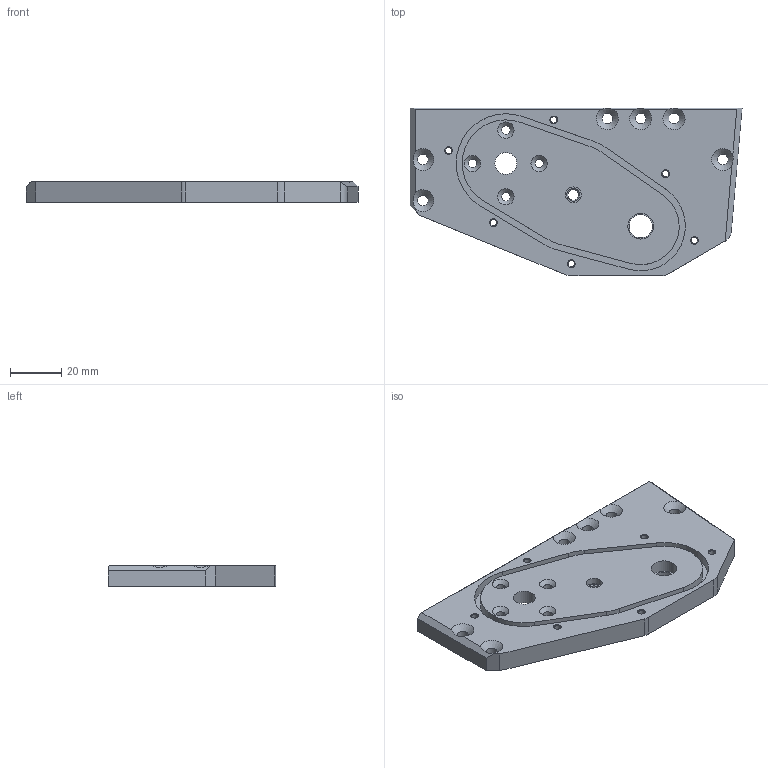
import cadquery as cq
import math

LENGTH = 129.52
DEPTH = 65.25
THICKNESS = 8.0

LEFT_EDGE_LENGTH = 37.9
LEFT_CORNER_CUT = 3.8
FRONT_EDGE_START_X = 61.4
FRONT_EDGE_END_X = 99.6
FRONT_RIGHT_SLOPE = math.radians(30)
RIGHT_EDGE_LEAN = math.radians(5)
CORNER_RADIUS = 5.0
SIDE_CHAMFER = 2.0
BACK_CHAMFER = 0.4

MAIN_BORE = (37.4, -21.5)
MIDDLE_HOLE = (63.7, -33.75)
BEARING_BORE = (90.0, -46.0)
GROOVE_WIDTH = 2.4
GROOVE_DEPTH = 4.0
MAIN_GROOVE_RADIUS = 17.0
MIDDLE_GROOVE_RADIUS = 20.0
BEARING_GROOVE_RADIUS = 15.0

MAIN_BORE_DIAMETER = 8.6
MOTOR_BOSS_DIAMETER = 20.0
MOTOR_BOSS_DEPTH = 2.5
BEARING_DIAMETER = 10.0
BEARING_DEPTH = 5.0
BEARING_LIP_DIAMETER = 9.0
MIDDLE_RECESS_DIAMETER = 6.2
MIDDLE_RECESS_DEPTH = 2.5
MIDDLE_CHAMFER_DIAMETER = 5.0
MIDDLE_HOLE_DIAMETER = 4.2

COUNTERSINK_ANGLE = 90.0
MOTOR_SCREW_RADIUS = 13.0
MOTOR_SCREW_COUNT = 4
MOTOR_SCREW_DIAMETER = 3.4
MOTOR_SCREW_HEAD = 6.4
FRAME_SCREW_DIAMETER = 4.2
FRAME_SCREW_HEAD = 8.6
FRAME_SCREW_INSET_X = 5.0
FRAME_SCREW_FIRST_Y = -20.0
LEFT_SCREW_PITCH = 16.0
RIGHT_SCREW_X = 122.0
BACK_SCREW_PITCH = 13.0
BACK_SCREW_Y = -4.0

COVER_HOLE_DIAMETER = 2.5
COVER_HOLE_MOUTH = 3.0
COVER_HOLES = [
    (15.05, -16.5),
    (56.05, -4.5),
    (99.7, -25.5),
    (110.95, -51.5),
    (62.95, -60.6),
    (32.55, -44.6),
]


def plate():
    lean = math.tan(RIGHT_EDGE_LEAN)
    slope = math.tan(FRONT_RIGHT_SLOPE)
    right_y = -(DEPTH - (LENGTH - FRONT_EDGE_END_X) * slope) / (1 - lean * slope)
    right_x = LENGTH + right_y * lean
    outline = [
        (0, 0),
        (0, -LEFT_EDGE_LENGTH),
        (LEFT_CORNER_CUT, -LEFT_EDGE_LENGTH - LEFT_CORNER_CUT),
        (FRONT_EDGE_START_X, -DEPTH),
        (FRONT_EDGE_END_X, -DEPTH),
        (right_x, right_y),
        (LENGTH, 0),
    ]
    sharp = cq.Workplane("XY").polyline(outline).close().extrude(THICKNESS)

    rounded = sharp
    for x, y in outline[3:6]:
        rounded = rounded.edges(cq.selectors.NearestToPointSelector((x, y, THICKNESS / 2)))
        rounded = rounded.fillet(CORNER_RADIUS)

    chamfered = sharp
    right_middle = ((LENGTH + right_x) / 2, right_y / 2, THICKNESS)
    left_middle = (0, -LEFT_EDGE_LENGTH / 2, THICKNESS)
    back_middle = (LENGTH / 2, 0, THICKNESS)
    for middle, size in (
        (left_middle, SIDE_CHAMFER),
        (right_middle, SIDE_CHAMFER),
        (back_middle, BACK_CHAMFER),
    ):
        chamfered = chamfered.edges(cq.selectors.NearestToPointSelector(middle)).chamfer(size)
    return chamfered.intersect(rounded)


def tangent_points(first, first_radius, second, second_radius):
    """End points of the tangent line on the left-hand side when going from first to second."""
    dx = second[0] - first[0]
    dy = second[1] - first[1]
    heading = math.atan2(dy, dx)
    normal = heading + math.acos((first_radius - second_radius) / math.hypot(dx, dy))
    return [
        (c[0] + r * math.cos(normal), c[1] + r * math.sin(normal))
        for c, r in ((first, first_radius), (second, second_radius))
    ]


def groove_loop(offset):
    """Solid bounded by arcs about the three centres, joined by their common tangents."""
    main = (MAIN_BORE, MAIN_GROOVE_RADIUS + offset)
    middle = (MIDDLE_HOLE, MIDDLE_GROOVE_RADIUS + offset)
    bearing = (BEARING_BORE, BEARING_GROOVE_RADIUS + offset)
    stops = [main, middle, bearing, middle]
    lines = [tangent_points(*stops[i], *stops[(i + 1) % len(stops)]) for i in range(len(stops))]
    loop = cq.Workplane("XY", origin=(0, 0, THICKNESS - GROOVE_DEPTH)).moveTo(*lines[0][0])
    for i, line in enumerate(lines):
        arrival = line[1]
        departure = lines[(i + 1) % len(lines)][0]
        centre, radius = stops[(i + 1) % len(stops)]
        start_angle = math.atan2(arrival[1] - centre[1], arrival[0] - centre[0])
        end_angle = math.atan2(departure[1] - centre[1], departure[0] - centre[0])
        sweep = (start_angle - end_angle) % (2 * math.pi)
        halfway = start_angle - sweep / 2
        arc_middle = (centre[0] + radius * math.cos(halfway), centre[1] + radius * math.sin(halfway))
        loop = loop.lineTo(*arrival).threePointArc(arc_middle, departure)
    return loop.close().extrude(GROOVE_DEPTH)


def on_top(body, points, depth=0.0):
    """Hole positions on a plane the given depth below the top face."""
    return body.copyWorkplane(cq.Workplane("XY", origin=(0, 0, THICKNESS - depth))).pushPoints(points)


def cut_bores(body):
    body = on_top(body, [MAIN_BORE]).hole(MAIN_BORE_DIAMETER)
    motor_boss = cq.Workplane("XY").center(*MAIN_BORE).circle(MOTOR_BOSS_DIAMETER / 2)
    motor_boss = motor_boss.extrude(MOTOR_BOSS_DEPTH)
    body = body.cut(motor_boss)
    body = on_top(body, [BEARING_BORE]).cboreHole(BEARING_LIP_DIAMETER, BEARING_DIAMETER, BEARING_DEPTH)
    body = on_top(body, [MIDDLE_HOLE]).hole(MIDDLE_RECESS_DIAMETER, MIDDLE_RECESS_DEPTH)
    return on_top(body, [MIDDLE_HOLE], MIDDLE_RECESS_DEPTH).cskHole(
        MIDDLE_HOLE_DIAMETER, MIDDLE_CHAMFER_DIAMETER, COUNTERSINK_ANGLE
    )


def cut_screw_holes(body):
    motor_angles = [2 * math.pi * i / MOTOR_SCREW_COUNT for i in range(MOTOR_SCREW_COUNT)]
    motor_screws = [
        (
            MAIN_BORE[0] + MOTOR_SCREW_RADIUS * math.cos(angle),
            MAIN_BORE[1] + MOTOR_SCREW_RADIUS * math.sin(angle),
        )
        for angle in motor_angles
    ]
    back_screws = [(BEARING_BORE[0] + i * BACK_SCREW_PITCH, BACK_SCREW_Y) for i in (-1, 0, 1)]
    side_screws = [
        (FRAME_SCREW_INSET_X, FRAME_SCREW_FIRST_Y),
        (FRAME_SCREW_INSET_X, FRAME_SCREW_FIRST_Y - LEFT_SCREW_PITCH),
        (RIGHT_SCREW_X, FRAME_SCREW_FIRST_Y),
    ]
    for points, diameter, head in (
        (motor_screws, MOTOR_SCREW_DIAMETER, MOTOR_SCREW_HEAD),
        (back_screws + side_screws, FRAME_SCREW_DIAMETER, FRAME_SCREW_HEAD),
        (COVER_HOLES, COVER_HOLE_DIAMETER, COVER_HOLE_MOUTH),
    ):
        body = on_top(body, points).cskHole(diameter, head, COUNTERSINK_ANGLE)
    return body


groove = groove_loop(GROOVE_WIDTH).cut(groove_loop(0))
result = cut_screw_holes(cut_bores(plate().cut(groove)))